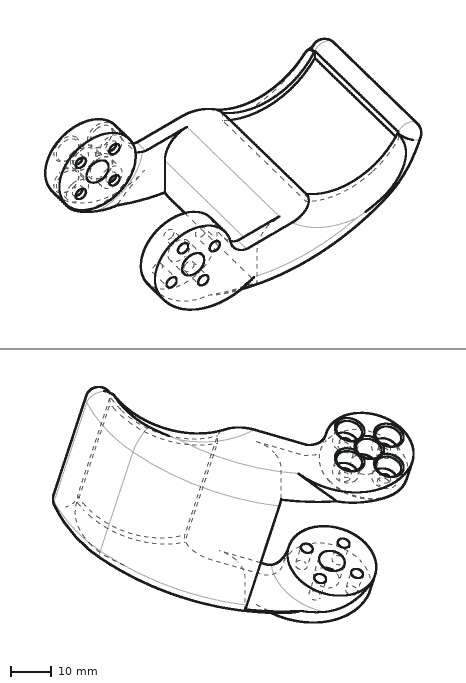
import cadquery as cq
import math


width = 50.0
half_width = width / 2
side_round = 6.0
crown_half = half_width - side_round

hub_radius = 11.25
hub_thickness = 6.5
arm_thickness = 4.0
boss_blend_radius = 4.0
cam_radius = 18.5
cam_angle = math.radians(23)
cam_end_angle = math.radians(-20)
neck_radius = 5.2

bore_diameter = 6.5
screw_diameter = 3.0
counterbore_diameter = 6.5
counterbore_depth = 5.0
hole_chamfer = 0.5
screw_circle_radius = 7.0
screw_count = 4
left_screw_angle = 45.0
right_screw_angle = 25.0

tip_reach = 70.38
tip_top = 11.56
tip_radius = 3.3
rim_center = (46.7, 19.6)
rim_radius = 20.0
back_radius = 62.0
back_lowest = -18.1
back_center = (23.3, back_lowest + back_radius)
tip_back_radius = 33.4
deck_edge_y = 37.1
deck_slope = math.radians(10.8)
grip_start_y = 4.0

groove_center = (45.9, 19.8)
groove_radius = 22.0
groove_end_y = 64.2

opening_half = half_width - arm_thickness
opening_wall_y = 21.4
opening_round = 8.0

tip_section_count = 8
tip_taper_power = 2

clearance = 30.0


def polar(center, radius, angle):
    return (center[0] + radius * math.cos(angle), center[1] + radius * math.sin(angle))


def direction(start, target):
    return math.atan2(target[1] - start[1], target[0] - start[0])


def toward(start, target, distance):
    """Point at a distance from start in the direction of target."""
    return polar(start, distance, direction(start, target))


def meet(center_a, radius_a, center_b, radius_b):
    """Crossing of two circles, on the right-hand side going from a to b."""
    span = math.dist(center_a, center_b)
    along = (radius_a**2 - radius_b**2 + span**2) / (2 * span)
    turn = math.acos(along / radius_a)
    return polar(center_a, radius_a, direction(center_a, center_b) - turn)


def arc_middle(center, radius, start, end):
    """Middle of the shorter arc between two points of a circle."""
    return toward(center, ((start[0] + end[0]) / 2, (start[1] + end[1]) / 2), radius)


def low_side(center, radius, y):
    """Point of a circle's lower half at a given y."""
    return (y, center[1] - math.sqrt(radius**2 - (y - center[0])**2))


def on_deck(y):
    return (y, deck_edge[1] + (y - deck_edge[0]) * math.tan(deck_slope))


def off_deck(point, distance):
    """Point moved square to the deck, upward when the distance is positive."""
    return polar(point, distance, deck_slope + math.pi / 2)


deck_edge = low_side(rim_center, rim_radius, deck_edge_y)
tip_center = (tip_reach - tip_radius, tip_top - tip_radius)
tip_back_center = meet(
    back_center, back_radius - tip_back_radius, tip_center, tip_back_radius - tip_radius
)
back_start = low_side(back_center, back_radius, grip_start_y)
back_joint = polar(back_center, back_radius, direction(back_center, tip_back_center))
back_middle = arc_middle(back_center, back_radius, back_start, back_joint)
cam_center = polar((0, 0), cam_radius - hub_radius, cam_angle)


def extrude_across(profile, half=half_width):
    """Extrude a closed (y, z) profile to both sides of X = 0."""
    return profile.extrude(half, both=True)


def x_cylinder(center, radius, x_start, length):
    return cq.Workplane("YZ", origin=(x_start, *center)).circle(radius).extrude(length)


def make_rounded_blank():
    """Grip up to the tip stretch, without its hollow, with the two lower edges rounded."""
    blank = extrude_across(
        cq.Workplane("YZ")
        .moveTo(*back_start)
        .threePointArc(back_middle, back_joint)
        .lineTo(*tip_back_center)
        .lineTo(*deck_edge)
        .lineTo(*on_deck(grip_start_y))
        .close()
    )
    edge_left, edge_right = [
        cq.selectors.NearestToPointSelector((side * half_width, *back_middle)) for side in (-1, 1)
    ]
    return blank.edges(edge_left + edge_right).fillet(side_round)


def stadium_section(angle, radius):
    """Round-ended section across the grip, standing on the lower face near the tip."""
    middle = polar(tip_back_center, tip_back_radius - radius, angle)
    outer = polar(middle, radius, angle)
    inner = polar(middle, -radius, angle)
    left_outer = cq.Vector(-crown_half, *outer)
    left_nose = cq.Vector(-crown_half - radius, *middle)
    left_inner = cq.Vector(-crown_half, *inner)
    right_inner = cq.Vector(crown_half, *inner)
    right_nose = cq.Vector(crown_half + radius, *middle)
    right_outer = cq.Vector(crown_half, *outer)
    return cq.Wire.assembleEdges([
        cq.Edge.makeThreePointArc(left_outer, left_nose, left_inner),
        cq.Edge.makeLine(left_inner, right_inner),
        cq.Edge.makeThreePointArc(right_inner, right_nose, right_outer),
        cq.Edge.makeLine(right_outer, left_outer),
    ])


def make_tip_stretch():
    """Tip stretch, its side rounding shrinking from side_round to tip_radius."""
    joint_angle = direction(tip_back_center, back_joint)
    tip_angle = direction(tip_back_center, tip_center)
    sections = []
    for index in range(tip_section_count):
        share = index / (tip_section_count - 1)
        radius = side_round - (side_round - tip_radius) * share**tip_taper_power
        sections.append(stadium_section(joint_angle + share * (tip_angle - joint_angle), radius))
    return cq.Workplane(cq.Solid.makeLoft(sections))


def make_tip_end():
    """Half of a ball-ended round bar, closing the tip beyond its last section."""
    nose = crown_half + tip_radius
    left_middle = polar((-crown_half, 0), tip_radius, math.radians(135))
    right_middle = polar((crown_half, 0), tip_radius, math.radians(45))
    half_bar = (
        cq.Workplane("XY")
        .moveTo(-nose, 0)
        .threePointArc(left_middle, (-crown_half, tip_radius))
        .lineTo(crown_half, tip_radius)
        .threePointArc(right_middle, (nose, 0))
        .close()
        .revolve(180, (0, 0, 0), (1, 0, 0))
    )
    tip_angle = math.degrees(direction(tip_back_center, tip_center))
    return half_bar.rotate((0, 0, 0), (1, 0, 0), tip_angle).translate((0, *tip_center))


def make_hollow():
    """Round hollow whose rim flares outward at both sides, turned about the rim axis."""
    flare = side_round * (1 - math.sqrt(0.5))
    flare_run = side_round * math.sqrt(0.5)
    outer_radius = rim_radius + side_round
    return (
        cq.Workplane("XY", origin=(0, *rim_center))
        .moveTo(-half_width, 0)
        .lineTo(-half_width, outer_radius)
        .threePointArc((-crown_half - flare_run, rim_radius + flare), (-crown_half, rim_radius))
        .lineTo(crown_half, rim_radius)
        .threePointArc((crown_half + flare_run, rim_radius + flare), (half_width, outer_radius))
        .lineTo(half_width, 0)
        .close()
        .revolve(360, (0, 0, 0), (1, 0, 0))
    )


def make_groove():
    """Shallow groove along the hollow with upright ends."""
    floor = x_cylinder(groove_center, groove_radius, -crown_half, 2 * crown_half)
    length = groove_end_y - deck_edge_y
    window = cq.Workplane("XY").box(
        2 * crown_half, length, 2 * clearance, centered=(True, False, True)
    )
    return floor.intersect(window.translate((0, deck_edge_y, 0)))


def make_arms():
    """Hubs and arms as one block across the whole width."""
    axis = (0, 0)
    deck_base = off_deck(on_deck(0), neck_radius)
    reach = hub_radius + neck_radius
    depth = deck_base[1] * math.cos(deck_slope)
    neck_center = polar(axis, reach, deck_slope + math.asin(depth / reach))
    neck_deck = off_deck(neck_center, -neck_radius)
    neck_hub = toward(axis, neck_center, hub_radius)
    cam_start = polar(axis, -hub_radius, cam_angle)
    cam_end = polar(cam_center, cam_radius, cam_end_angle)
    return extrude_across(
        cq.Workplane("YZ")
        .moveTo(*neck_hub)
        .threePointArc(polar(axis, hub_radius, math.radians(120)), cam_start)
        .threePointArc(arc_middle(cam_center, cam_radius, cam_start, cam_end), cam_end)
        .lineTo(*neck_deck)
        .threePointArc(arc_middle(neck_center, neck_radius, neck_deck, neck_hub), neck_hub)
        .close()
    )


def make_boss(side):
    """Inner boss of one hub, with a hollow blend down to the arm."""
    boss_face = half_width - hub_thickness
    height = opening_half - boss_face
    angle = math.acos(1 - height / boss_blend_radius)
    foot_radius = hub_radius + boss_blend_radius * math.sin(angle)
    blend_center = (opening_half - boss_blend_radius, foot_radius)
    boss = (
        cq.Workplane("XY")
        .moveTo(half_width, 0)
        .lineTo(boss_face, 0)
        .lineTo(boss_face, hub_radius)
        .threePointArc(
            polar(blend_center, boss_blend_radius, -angle / 2), (opening_half, foot_radius)
        )
        .lineTo(half_width, foot_radius)
        .close()
        .revolve(360, (0, 0, 0), (1, 0, 0))
    )
    return boss if side > 0 else boss.mirror("YZ")


def make_opening():
    """Space between the arms, with a rounded top edge on its end wall."""
    round_y = opening_wall_y + opening_round
    round_center = (round_y, on_deck(round_y)[1] - opening_round / math.cos(deck_slope))
    wall_top = (opening_wall_y, round_center[1])
    deck_start = off_deck(round_center, opening_round)
    opening = extrude_across(
        cq.Workplane("YZ")
        .moveTo(-clearance, -clearance)
        .lineTo(opening_wall_y, -clearance)
        .lineTo(*wall_top)
        .threePointArc(
            arc_middle(round_center, opening_round, wall_top, deck_start), deck_start
        )
        .lineTo(deck_start[0], clearance)
        .lineTo(-clearance, clearance)
        .close(),
        opening_half,
    )
    return opening.cut(make_boss(-1)).cut(make_boss(1))


def chamfered_hole(center, diameter, depth):
    """Hole from the outer face of the -X hub, with a chamfered mouth."""
    radius = diameter / 2
    bottom = depth - half_width
    return (
        cq.Workplane("XY", origin=(0, *center))
        .moveTo(-half_width, 0)
        .lineTo(-half_width, radius + hole_chamfer)
        .lineTo(hole_chamfer - half_width, radius)
        .lineTo(bottom, radius)
        .lineTo(bottom, 0)
        .close()
        .revolve(360, (0, 0, 0), (1, 0, 0))
    )


def screw_places(first_angle):
    """Evenly spaced centres on the screw circle."""
    step = 360 / screw_count
    return [
        polar((0, 0), screw_circle_radius, math.radians(first_angle + index * step))
        for index in range(screw_count)
    ]


def cut_left_hub_holes(part):
    """Bore and counterbored screw holes of the -X hub."""
    part = part.cut(chamfered_hole((0, 0), bore_diameter, hub_thickness))
    for place in screw_places(left_screw_angle):
        part = part.cut(x_cylinder(place, screw_diameter / 2, -half_width, hub_thickness))
        part = part.cut(chamfered_hole(place, counterbore_diameter, counterbore_depth))
    return part


def cut_right_hub_holes(part):
    """Plain bore and plain screw holes of the +X hub."""
    inner_x = half_width - hub_thickness
    part = part.cut(x_cylinder((0, 0), bore_diameter / 2, inner_x, hub_thickness))
    for place in screw_places(right_screw_angle):
        part = part.cut(x_cylinder(place, screw_diameter / 2, inner_x, hub_thickness))
    return part


grip = make_rounded_blank().union(make_tip_stretch()).union(make_tip_end())
grip = grip.cut(make_hollow()).cut(make_groove())

body = grip.union(make_arms()).cut(make_opening())
result = cut_right_hub_holes(cut_left_hub_holes(body))